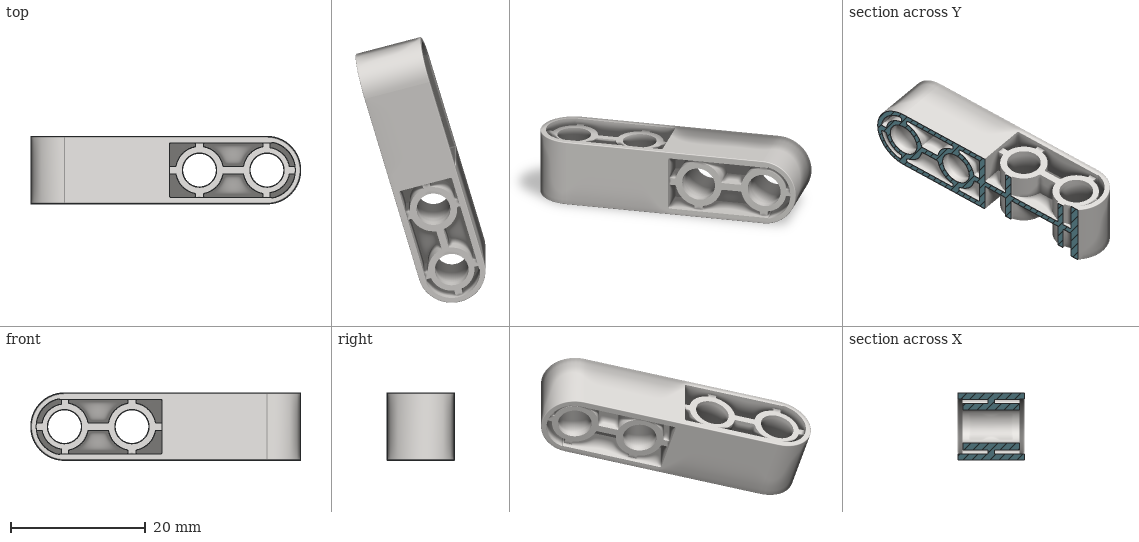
import cadquery as cq

LENGTH = 40.0
WIDTH = 10.0
END_RADIUS = WIDTH / 2
EDGE_FILLET = 0.1

HOLE_DIAMETER = 5.0
HOLE_PITCH = 10.0
END_HOLE_X = -LENGTH / 2 + END_RADIUS
INNER_HOLE_X = END_HOLE_X + HOLE_PITCH

POCKET_HEIGHT = 8.1
POCKET_END_RADIUS = 4.2
POCKET_INNER_X = -0.55
ROUND_END_OFFSET = 0.75
ROUND_END_X = END_HOLE_X - ROUND_END_OFFSET
POCKET_FILLET = 0.2
FLOOR_THICKNESS = 1.0
POCKET_DEPTH = (WIDTH - FLOOR_THICKNESS) / 2

RIB_RECESS = 0.8
TUBE_RADIUS = 3.5
END_TUBE_RADIUS = 3.35
WEB_THICKNESS = 1.1
POST_HALF_WIDTH = 0.6
END_POST_HALF_WIDTH = 0.5


def block(x_min, x_max, height, depth):
    """Box from the y = 0 plane toward +Y, centred on z = 0."""
    box = cq.Workplane("XY").box(x_max - x_min, depth, height, centered=(False, False, True))
    return box.translate((x_min, 0, 0))


def cylinder(x, radius, depth):
    """Cylinder along Y from the y = 0 plane toward +Y."""
    return cq.Workplane("XZ").center(x, 0).circle(radius).extrude(-depth)


def pocket_outline(depth):
    """Solid filling the whole pocket: a rectangle with a slightly wider round end."""
    straight = block(ROUND_END_X, POCKET_INNER_X, POCKET_HEIGHT, depth)
    round_end = cylinder(END_HOLE_X, POCKET_END_RADIUS, depth).intersect(
        block(-LENGTH / 2, ROUND_END_X, WIDTH, depth)
    )
    return straight.union(round_end)


def ribs(depth):
    """Tubes around both holes, the web joining them and the posts to the side walls."""
    inner_side = block(END_HOLE_X, POCKET_INNER_X, WIDTH, depth)
    solids = [
        block(-LENGTH / 2, POCKET_INNER_X, WEB_THICKNESS, depth),
        cylinder(END_HOLE_X, END_TUBE_RADIUS, depth),
        cylinder(END_HOLE_X, TUBE_RADIUS, depth).intersect(inner_side),
        cylinder(INNER_HOLE_X, TUBE_RADIUS, depth),
        block(END_HOLE_X - END_POST_HALF_WIDTH, END_HOLE_X + POST_HALF_WIDTH, WIDTH, depth),
        block(INNER_HOLE_X - POST_HALF_WIDTH, INNER_HOLE_X + POST_HALF_WIDTH, WIDTH, depth),
    ]
    joined = solids[0]
    for solid in solids[1:]:
        joined = joined.union(solid)
    return joined


def round_uprights(pocket, x_min, x_max):
    """Fillet the pocket corners that run along Y between two X positions."""
    span = cq.selectors.BoxSelector((x_min, 0, -WIDTH), (x_max, WIDTH, WIDTH))
    return pocket.edges("|Y").edges(span).fillet(POCKET_FILLET)


def rounded_pocket(depth):
    """Whole pocket with the two corners at its flat end rounded."""
    return round_uprights(pocket_outline(depth), INNER_HOLE_X, 0)


def pocket_cut():
    """Material removed from the -Y side of the -X half, with the opening at y = -WIDTH / 2."""
    recess = rounded_pocket(RIB_RECESS)
    cells = rounded_pocket(POCKET_DEPTH).cut(ribs(POCKET_DEPTH))
    cells = round_uprights(cells, END_HOLE_X, POCKET_INNER_X - 2 * POCKET_FILLET)
    return recess.union(cells).translate((0, -WIDTH / 2, 0))


def half_cut():
    """Everything removed from the -X half: a pocket on each side and the two through holes."""
    front = pocket_cut()
    cut = front.union(front.mirror("XZ"))
    for hole_x in (END_HOLE_X, INNER_HOLE_X):
        cut = cut.union(cylinder(hole_x, HOLE_DIAMETER / 2, WIDTH).translate((0, -WIDTH / 2, 0)))
    return cut


def to_other_half(shape):
    """Half turn about the diagonal y = z: swaps Y with Z and the -X half with the +X half."""
    return shape.rotate((0, 0, 0), (0, 1, 1), 180)


def beam_blank():
    """Square bar rounded about Y at -X and about Z at +X, with its outer edges softened."""
    rounded = block(END_HOLE_X, LENGTH / 2, WIDTH, WIDTH).union(cylinder(END_HOLE_X, END_RADIUS, WIDTH))
    rounded = rounded.translate((0, -WIDTH / 2, 0))
    blank = rounded.intersect(to_other_half(rounded))
    return blank.edges("|X or %CIRCLE").fillet(EDGE_FILLET)


cut_at_minus_x = half_cut()
result = beam_blank().cut(cut_at_minus_x).cut(to_other_half(cut_at_minus_x))